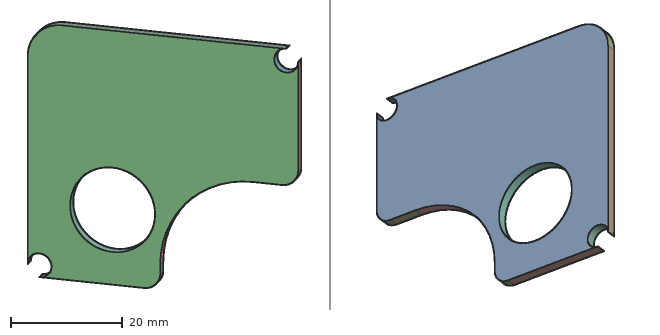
import cadquery as cq
import math

width = 51.0
height = 48.25
thickness = 2.0

foot_width = 25.0
arm_underside = 22.3
top_corner_radius = 6.5
end_corner_radius = 3.0
inner_corner_radius = 17.5

relief_radius = 2.25

window_diameter = 16.0
window_x = 16.0
window_z = 14.25


def arc_middle(center_x, center_z, radius, degrees):
    """Point on a circle, used as the middle point of an arc."""
    angle = math.radians(degrees)
    return (center_x + radius * math.cos(angle), center_z + radius * math.sin(angle))


def rounded_corner(outline, corner, radius, center_side, end):
    """Quarter arc at a corner; center_side gives the X and Z signs toward its center."""
    side_x, side_z = center_side
    center_x = corner[0] + side_x * radius
    center_z = corner[1] + side_z * radius
    degrees = math.degrees(math.atan2(-side_z, -side_x))
    return outline.threePointArc(arc_middle(center_x, center_z, radius, degrees), end)


def plate_outline():
    """Closed outline, run counterclockwise from the lower left relief."""
    outline = cq.Workplane("XZ").moveTo(relief_radius, 0)

    outline = outline.lineTo(foot_width - end_corner_radius, 0)
    outline = rounded_corner(outline, (foot_width, 0), end_corner_radius, (-1, 1),
                             (foot_width, end_corner_radius))

    outline = outline.lineTo(foot_width, arm_underside - inner_corner_radius)
    outline = rounded_corner(outline, (foot_width, arm_underside), inner_corner_radius, (1, -1),
                             (foot_width + inner_corner_radius, arm_underside))

    outline = outline.lineTo(width - end_corner_radius, arm_underside)
    outline = rounded_corner(outline, (width, arm_underside), end_corner_radius, (-1, 1),
                             (width, arm_underside + end_corner_radius))

    outline = outline.lineTo(width, height - relief_radius)
    outline = outline.threePointArc(
        arc_middle(width - relief_radius, height - relief_radius, relief_radius, 225),
        (width - relief_radius, height))

    outline = outline.lineTo(top_corner_radius, height)
    outline = rounded_corner(outline, (0, height), top_corner_radius, (1, -1),
                             (0, height - top_corner_radius))

    outline = outline.lineTo(0, relief_radius)
    outline = outline.threePointArc(
        arc_middle(relief_radius, relief_radius, relief_radius, 45),
        (relief_radius, 0))
    return outline.close()


plate = plate_outline().extrude(thickness)

window = (
    cq.Workplane("XZ")
    .center(window_x, window_z)
    .circle(window_diameter / 2)
    .extrude(thickness)
)

result = plate.cut(window)